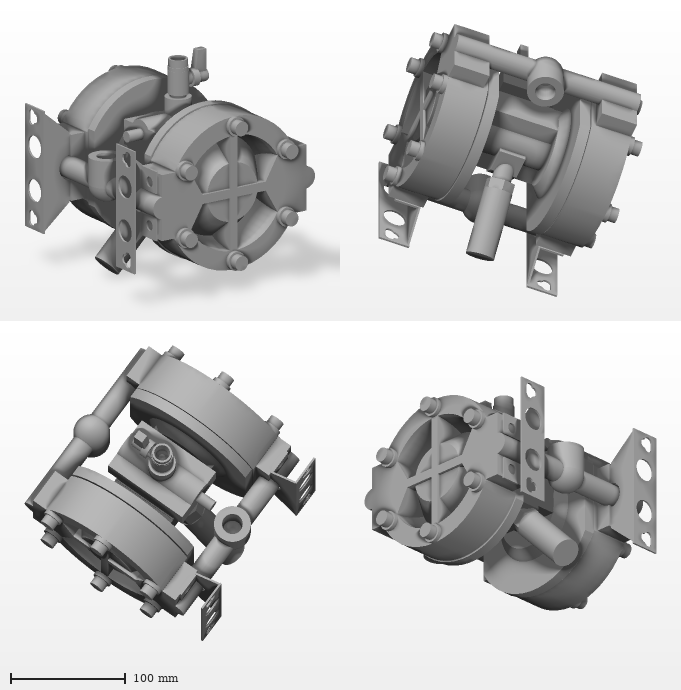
import cadquery as cq
import math


FLANGE_INNER_X = 38.2
FLANGE_OUTER_X = 47.8
FLANGE_RADIUS = 71.0
FLANGE_FLAT_Y = 62.0
GASKET_THICKNESS = 1.0
GASKET_RADIUS = 60.8
COVER_INNER_X = FLANGE_OUTER_X + GASKET_THICKNESS
COVER_OUTER_X = 85.8
COVER_RADIUS = 70.0
COVER_FLAT_Y = 62.5
HUB_BASE_RADIUS = 41.2
HUB_TIP_RADIUS = 32.0
HUB_TIP_X = 30.0

RECESS_RIM_RADIUS = 52.7
RECESS_WALL_MID_RADIUS = 51.0
RECESS_FLOOR_RADIUS = 46.0
RECESS_DEPTH = 29.2
RECESS_DISC_RADIUS = 26.9
RECESS_DISC_DEPTH = 3.0
RIB_HALF_WIDTH_Y = 3.7
RIB_HALF_WIDTH_Z = 4.1
WINDOW_INNER_Y = 33.3
WINDOW_EDGE_ANGLE = 60.0

BOLT_COUNT = 6
BOLT_CIRCLE_RADIUS = 61.5
WASHER_RADIUS = 8.6
WASHER_THICKNESS = 4.0
BOLT_HEAD_RADIUS = 6.7
BOLT_HEAD_LENGTH = 7.8

MANIFOLD_Y = 75.7
MANIFOLD_RADIUS = 10.0
BLOCK_FACE_Y = 76.5
BLOCK_HALF_HEIGHT = 30.2
BLOCK_INNER_X = 53.0
PORT_RADIUS = 16.0
PORT_HEIGHT = 24.9
PORT_BORE_RADIUS = 9.0
PORT_BORE_END_RADIUS = 8.0
PORT_BORE_DEPTH = 19.6

BODY_HALF_LENGTH_Y = 31.0
BODY_TOP_Z = 19.6
BODY_BOTTOM_Z = -10.0
PAD_HALF_WIDTH = 26.3
PAD_TOP_Z = 20.4
SHAFT_HOUSING_RADIUS = 18.0
VALVE_BLOCK_HALF_WIDTH = 25.0
VALVE_BLOCK_HALF_LENGTH = 39.8
VALVE_BLOCK_BOTTOM_Z = 22.5
VALVE_BLOCK_TOP_Z = 45.5
HUMP_HALF_WIDTH = 12.0
HUMP_TOP_Z = 51.5
PEG_RADIUS = 5.0
PEG_Z = 38.5
PEG_END_Y = -54.7
AIR_BOSS_RADIUS = 12.0
AIR_BOSS_TOP_Z = 66.0

EXHAUST_ANGLE = 45.0
EXHAUST_BOX_HALF_WIDTH = 12.0
EXHAUST_SEAT = 31.0
EXHAUST_BOX_BOTTOM_Z = -22.5
EXHAUST_NECK_RADIUS = 8.6
NUT_START = 38.2
NUT_END = 47.2
NUT_ACROSS_FLATS = 22.7
MUFFLER_RADIUS = 12.7
MUFFLER_END = 107.0

SHEET = 1.8
BRACKET_LEG_X = 55.5
BRACKET_PLATE_OUTER_X = 79.2
BRACKET_PLATE_HALF_HEIGHT = 31.8
FOOT_OUTER_X = 83.7
FOOT_FACE_Y = -104.3
FOOT_HALF_HEIGHT = 56.0
LEG_FOOT_HALF_HEIGHT = 55.0
PIPE_CLEARANCE_RADIUS = 11.5
HOLE_X = 69.2
HOLE_Z = 20.0
FOOT_HOLE_RADIUS = 10.2
PLATE_HOLE_RADIUS = 4.7
KEYHOLE_Z = 46.0
KEYHOLE_LOBE_RADIUS = 4.3
KEYHOLE_LOBE_Z = 2.7
KEYHOLE_LOBE_X = 73.5
KEYHOLE_TIP_X = HOLE_X

VALVE_NECK_RADIUS = 6.9
VALVE_BODY_BOTTOM_Z = 68.8
VALVE_BODY_RADIUS = 9.5
VALVE_COLLAR_BOTTOM_Z = 90.4
VALVE_COLLAR_RADIUS = 9.2
VALVE_TIP_BOTTOM_Z = 93.7
VALVE_TIP_RADIUS = 8.6
VALVE_TOP_Z = 100.5
VALVE_BORE_RADIUS = 6.9
VALVE_BORE_END_RADIUS = 5.3
VALVE_BORE_DEPTH = 11.8
VALVE_SEAT_RADIUS = 3.0
VALVE_SEAT_DEPTH = 15.7
VALVE_DRILL_DEPTH = 17.6
STEM_Z = 80.5
STEM_NECK_RADIUS = 5.7
STEM_COLLAR_START_Y = 12.2
STEM_COLLAR_END_Y = 18.5
STEM_COLLAR_RADIUS = 8.2
STEM_RADIUS = 5.9
STEM_TIP_RADIUS = 5.3
STEM_TIP_START_Y = 27.6
STEM_END_Y = 29.2
LEVER_HALF_WIDTH = 3.7
LEVER_TOP_Z = 105.3
LEVER_TOP_INNER_Y = 18.8
LEVER_FOOT_INNER_Y = 16.0
LEVER_FOOT_Z = 88.2


def box(x_range, y_range, z_range):
    """Box between the given limits."""
    size = [high - low for low, high in (x_range, y_range, z_range)]
    corner = (x_range[0], y_range[0], z_range[0])
    return cq.Workplane("XY").box(*size, centered=False).translate(corner)


def cylinder(start, direction, length, radius):
    """Round bar from a start point along a direction."""
    return cq.Workplane(cq.Solid.makeCylinder(radius, length, cq.Vector(*start), cq.Vector(*direction)))


def extrude_along_x(outline, x_start, x_end):
    """Straight-sided prism from a (Y, Z) outline."""
    return cq.Workplane("YZ", origin=(x_start, 0, 0)).polyline(outline).close().extrude(x_end - x_start)


def revolve_about_x(outline):
    """Solid of revolution about X from an (X, radius) outline."""
    return cq.Workplane("XY").polyline(outline).close().revolve(360, (0, 0, 0), (1, 0, 0))


def revolve_about_z(outline):
    """Solid of revolution about Z from a (radius, Z) outline."""
    return cq.Workplane("XZ").polyline(outline).close().revolve(360, (0, 0, 0), (0, 1, 0))


def flatted_disc(x_start, x_end, radius, flat_y):
    """Disc on the pump axis with a flat on its front and its rear."""
    disc = cylinder((x_start, 0, 0), (1, 0, 0), x_end - x_start, radius)
    return disc.intersect(box((x_start, x_end), (-flat_y, flat_y), (-radius, radius)))


def cover_recess():
    """Round-walled ring recess around a cone, left open only in four windows between the ribs."""
    floor_x = COVER_OUTER_X - RECESS_DEPTH
    disc_x = COVER_OUTER_X - RECESS_DISC_DEPTH
    ring = (
        cq.Workplane("XY")
        .moveTo(COVER_OUTER_X, 0)
        .lineTo(COVER_OUTER_X, RECESS_RIM_RADIUS)
        .threePointArc(
            ((COVER_OUTER_X + floor_x) / 2, RECESS_WALL_MID_RADIUS),
            (floor_x, RECESS_FLOOR_RADIUS),
        )
        .lineTo(disc_x, RECESS_DISC_RADIUS)
        .lineTo(disc_x, 0)
        .close()
        .revolve(360, (0, 0, 0), (1, 0, 0))
    )
    window_height = RECESS_RIM_RADIUS - RIB_HALF_WIDTH_Z
    window_outer_y = WINDOW_INNER_Y + window_height / math.tan(math.radians(WINDOW_EDGE_ANGLE))
    windows = cq.Workplane("XY")
    for y_side in (-1, 1):
        for z_side in (-1, 1):
            windows = windows.add(extrude_along_x([
                (y_side * RIB_HALF_WIDTH_Y, z_side * RIB_HALF_WIDTH_Z),
                (y_side * WINDOW_INNER_Y, z_side * RIB_HALF_WIDTH_Z),
                (y_side * window_outer_y, z_side * RECESS_RIM_RADIUS),
                (y_side * RIB_HALF_WIDTH_Y, z_side * RECESS_RIM_RADIUS),
            ], floor_x, COVER_OUTER_X))
    return ring.intersect(windows.combine())


def cover_bolt(angle):
    """Washer and round bolt head on the cover's outer face."""
    y = BOLT_CIRCLE_RADIUS * math.sin(math.radians(angle))
    z = BOLT_CIRCLE_RADIUS * math.cos(math.radians(angle))
    washer = cylinder((COVER_OUTER_X, y, z), (1, 0, 0), WASHER_THICKNESS, WASHER_RADIUS)
    head_x = COVER_OUTER_X + WASHER_THICKNESS
    return washer.union(cylinder((head_x, y, z), (1, 0, 0), BOLT_HEAD_LENGTH, BOLT_HEAD_RADIUS))


def chamber():
    """Chamber on the +X side: hub, flange, gasket, cover, manifold blocks and bolts."""
    hub = revolve_about_x([
        (HUB_TIP_X, 0),
        (HUB_TIP_X, HUB_TIP_RADIUS),
        (FLANGE_INNER_X, HUB_BASE_RADIUS),
        (FLANGE_INNER_X, 0),
    ])
    flange = flatted_disc(FLANGE_INNER_X, FLANGE_OUTER_X, FLANGE_RADIUS, FLANGE_FLAT_Y)
    gasket = cylinder((FLANGE_OUTER_X, 0, 0), (1, 0, 0), GASKET_THICKNESS, GASKET_RADIUS)
    cover = flatted_disc(COVER_INNER_X, COVER_OUTER_X, COVER_RADIUS, COVER_FLAT_Y)
    blocks = box(
        (BLOCK_INNER_X, COVER_OUTER_X),
        (-BLOCK_FACE_Y, BLOCK_FACE_Y),
        (-BLOCK_HALF_HEIGHT, BLOCK_HALF_HEIGHT),
    )
    solid = hub.union(flange).union(gasket).union(cover).union(blocks).cut(cover_recess())
    for index in range(BOLT_COUNT):
        solid = solid.union(cover_bolt(index * 360 / BOLT_COUNT))
    return solid


def upright_port():
    """Port on the pump axis: round-bottomed bar along Z."""
    bar = cylinder((0, 0, 0), (0, 0, 1), PORT_HEIGHT, PORT_RADIUS)
    return bar.union(cq.Workplane("XY").sphere(PORT_RADIUS))


def port_bore():
    """Slightly tapered hole in the port, with a cone-shaped bottom."""
    bottom_z = PORT_HEIGHT - PORT_BORE_DEPTH
    return revolve_about_z([
        (0, PORT_HEIGHT),
        (PORT_BORE_RADIUS, PORT_HEIGHT),
        (PORT_BORE_END_RADIUS, bottom_z),
        (0, bottom_z - PORT_BORE_END_RADIUS / 2),
    ])


def manifold():
    """Front manifold pipe with its port facing up."""
    pipe = cylinder((-COVER_OUTER_X, 0, 0), (1, 0, 0), 2 * COVER_OUTER_X, MANIFOLD_RADIUS)
    return pipe.union(upright_port()).cut(port_bore()).translate((0, -MANIFOLD_Y, 0))


def centre_section():
    """Body between the chambers with its top pad, shaft housing and valve block."""
    body = box(
        (-FLANGE_INNER_X, FLANGE_INNER_X),
        (-BODY_HALF_LENGTH_Y, BODY_HALF_LENGTH_Y),
        (BODY_BOTTOM_Z, BODY_TOP_Z),
    )
    pad = box(
        (-PAD_HALF_WIDTH, PAD_HALF_WIDTH),
        (-BODY_HALF_LENGTH_Y, BODY_HALF_LENGTH_Y),
        (BODY_BOTTOM_Z, PAD_TOP_Z),
    )
    slope = VALVE_BLOCK_BOTTOM_Z - PAD_TOP_Z
    bevelled_step = extrude_along_x([
        (-BODY_HALF_LENGTH_Y, PAD_TOP_Z),
        (-BODY_HALF_LENGTH_Y + slope, VALVE_BLOCK_BOTTOM_Z),
        (BODY_HALF_LENGTH_Y - slope, VALVE_BLOCK_BOTTOM_Z),
        (BODY_HALF_LENGTH_Y, PAD_TOP_Z),
    ], -VALVE_BLOCK_HALF_WIDTH, VALVE_BLOCK_HALF_WIDTH)
    housing = cylinder((-FLANGE_INNER_X, 0, 0), (1, 0, 0), 2 * FLANGE_INNER_X, SHAFT_HOUSING_RADIUS)
    return body.union(pad).union(bevelled_step).union(housing).union(valve_block())


def valve_block():
    """Block with a rounded ridge along Y, the peg at its front and the air boss on top."""
    block = (
        cq.Workplane("XZ", origin=(0, VALVE_BLOCK_HALF_LENGTH, 0))
        .moveTo(-VALVE_BLOCK_HALF_WIDTH, VALVE_BLOCK_BOTTOM_Z)
        .lineTo(VALVE_BLOCK_HALF_WIDTH, VALVE_BLOCK_BOTTOM_Z)
        .lineTo(VALVE_BLOCK_HALF_WIDTH, VALVE_BLOCK_TOP_Z)
        .lineTo(HUMP_HALF_WIDTH, VALVE_BLOCK_TOP_Z)
        .threePointArc((0, HUMP_TOP_Z), (-HUMP_HALF_WIDTH, VALVE_BLOCK_TOP_Z))
        .lineTo(-VALVE_BLOCK_HALF_WIDTH, VALVE_BLOCK_TOP_Z)
        .close()
        .extrude(2 * VALVE_BLOCK_HALF_LENGTH)
    )
    peg = cylinder((0, 0, PEG_Z), (0, -1, 0), -PEG_END_Y, PEG_RADIUS)
    boss = cylinder((0, 0, PEG_Z), (0, 0, 1), AIR_BOSS_TOP_Z - PEG_Z, AIR_BOSS_RADIUS)
    return block.union(peg).union(boss)


def exhaust():
    """Slanted seat under the body, with a round neck, a hexagon nut and the muffler."""
    cosine = math.cos(math.radians(EXHAUST_ANGLE))
    seat_reach = EXHAUST_SEAT / cosine
    seat = extrude_along_x([
        (0, 0),
        (-BODY_HALF_LENGTH_Y, 0),
        (-BODY_HALF_LENGTH_Y, BODY_HALF_LENGTH_Y - seat_reach),
        (-seat_reach - EXHAUST_BOX_BOTTOM_Z, EXHAUST_BOX_BOTTOM_Z),
        (0, EXHAUST_BOX_BOTTOM_Z),
    ], -EXHAUST_BOX_HALF_WIDTH, EXHAUST_BOX_HALF_WIDTH)
    neck = cylinder((0, 0, 0), (0, 0, 1), NUT_END, EXHAUST_NECK_RADIUS)
    nut_across_corners = NUT_ACROSS_FLATS / math.cos(math.pi / 6)
    nut = (
        cq.Workplane("XY", origin=(0, 0, NUT_START))
        .polygon(6, nut_across_corners)
        .extrude(NUT_END - NUT_START)
        .rotate((0, 0, 0), (0, 0, 1), 90)
    )
    muffler = cylinder((0, 0, NUT_END), (0, 0, 1), MUFFLER_END - NUT_END, MUFFLER_RADIUS)
    pipework = neck.union(nut).union(muffler).rotate((0, 0, 0), (1, 0, 0), 180 - EXHAUST_ANGLE)
    return seat.union(pipework)


def keyhole_cutter(z_side):
    """Three-lobed hole through the foot, with a straight outer side."""
    lobes = [
        (KEYHOLE_LOBE_X, KEYHOLE_Z + KEYHOLE_LOBE_Z),
        (KEYHOLE_LOBE_X, KEYHOLE_Z - KEYHOLE_LOBE_Z),
        (KEYHOLE_TIP_X, KEYHOLE_Z),
    ]
    straight_side = box(
        (KEYHOLE_LOBE_X, KEYHOLE_LOBE_X + KEYHOLE_LOBE_RADIUS),
        (FOOT_FACE_Y, FOOT_FACE_Y + SHEET),
        (KEYHOLE_Z - KEYHOLE_LOBE_Z, KEYHOLE_Z + KEYHOLE_LOBE_Z),
    )
    cutter = straight_side if z_side > 0 else straight_side.mirror("XY")
    for x, z in lobes:
        cutter = cutter.union(cylinder((x, FOOT_FACE_Y, z_side * z), (0, 1, 0), SHEET, KEYHOLE_LOBE_RADIUS))
    return cutter


def bracket():
    """Bent sheet bracket on the +X side: plate on the manifold block, leg and foot."""
    plate = box(
        (BRACKET_LEG_X, BRACKET_PLATE_OUTER_X),
        (-BLOCK_FACE_Y - SHEET, -BLOCK_FACE_Y),
        (-BRACKET_PLATE_HALF_HEIGHT, BRACKET_PLATE_HALF_HEIGHT),
    )
    leg = extrude_along_x([
        (-BLOCK_FACE_Y, -BRACKET_PLATE_HALF_HEIGHT),
        (FOOT_FACE_Y, -LEG_FOOT_HALF_HEIGHT),
        (FOOT_FACE_Y, LEG_FOOT_HALF_HEIGHT),
        (-BLOCK_FACE_Y, BRACKET_PLATE_HALF_HEIGHT),
    ], BRACKET_LEG_X, BRACKET_LEG_X + SHEET)
    foot = box(
        (BRACKET_LEG_X, FOOT_OUTER_X),
        (FOOT_FACE_Y, FOOT_FACE_Y + SHEET),
        (-FOOT_HALF_HEIGHT, FOOT_HALF_HEIGHT),
    )
    pipe_clearance = cylinder(
        (BRACKET_LEG_X, -MANIFOLD_Y, 0),
        (1, 0, 0),
        BRACKET_PLATE_OUTER_X - BRACKET_LEG_X,
        PIPE_CLEARANCE_RADIUS,
    )
    solid = plate.union(leg).union(foot).cut(pipe_clearance)
    for z_side in (-1, 1):
        z = z_side * HOLE_Z
        solid = solid.cut(cylinder((HOLE_X, FOOT_FACE_Y, z), (0, 1, 0), SHEET, FOOT_HOLE_RADIUS))
        solid = solid.cut(cylinder((HOLE_X, -BLOCK_FACE_Y, z), (0, -1, 0), SHEET, PLATE_HOLE_RADIUS))
        solid = solid.cut(keyhole_cutter(z_side))
    return solid


def pump():
    """The whole pump as one solid."""
    side = chamber().union(bracket())
    front_manifold = manifold()
    rear_manifold = front_manifold.rotate((0, 0, 0), (1, 0, 0), 180)
    return (
        centre_section()
        .union(exhaust())
        .union(side)
        .union(side.mirror("YZ"))
        .union(front_manifold)
        .union(rear_manifold)
    )


def valve_bore():
    """Tapered bore in the top of the valve, narrowing to a pointed seat."""
    return revolve_about_z([
        (0, VALVE_TOP_Z),
        (VALVE_BORE_RADIUS, VALVE_TOP_Z),
        (VALVE_BORE_END_RADIUS, VALVE_TOP_Z - VALVE_BORE_DEPTH),
        (VALVE_SEAT_RADIUS, VALVE_TOP_Z - VALVE_SEAT_DEPTH),
        (0, VALVE_TOP_Z - VALVE_DRILL_DEPTH),
    ])


def air_valve():
    """Ball valve standing on the air boss, with its stem and lever at the rear."""
    tube = revolve_about_z([
        (0, AIR_BOSS_TOP_Z),
        (VALVE_NECK_RADIUS, AIR_BOSS_TOP_Z),
        (VALVE_NECK_RADIUS, VALVE_BODY_BOTTOM_Z),
        (VALVE_BODY_RADIUS, VALVE_BODY_BOTTOM_Z),
        (VALVE_BODY_RADIUS, VALVE_COLLAR_BOTTOM_Z),
        (VALVE_COLLAR_RADIUS, VALVE_COLLAR_BOTTOM_Z),
        (VALVE_COLLAR_RADIUS, VALVE_TIP_BOTTOM_Z),
        (VALVE_TIP_RADIUS, VALVE_TIP_BOTTOM_Z),
        (VALVE_TIP_RADIUS, VALVE_TOP_Z),
        (0, VALVE_TOP_Z),
    ])
    stem_sections = [
        (0, STEM_COLLAR_START_Y, STEM_NECK_RADIUS),
        (STEM_COLLAR_START_Y, STEM_COLLAR_END_Y, STEM_COLLAR_RADIUS),
        (STEM_COLLAR_END_Y, STEM_TIP_START_Y, STEM_RADIUS),
        (STEM_TIP_START_Y, STEM_END_Y, STEM_TIP_RADIUS),
    ]
    lever = extrude_along_x([
        (STEM_TIP_START_Y, STEM_Z),
        (STEM_TIP_START_Y, LEVER_TOP_Z),
        (LEVER_TOP_INNER_Y, LEVER_TOP_Z),
        (LEVER_FOOT_INNER_Y, LEVER_FOOT_Z),
        (LEVER_FOOT_INNER_Y, STEM_Z),
    ], -LEVER_HALF_WIDTH, LEVER_HALF_WIDTH)
    solid = tube.union(lever)
    for start_y, end_y, radius in stem_sections:
        solid = solid.union(cylinder((0, start_y, STEM_Z), (0, 1, 0), end_y - start_y, radius))
    return solid.cut(valve_bore())


result = cq.Compound.makeCompound([pump().val(), air_valve().val()])